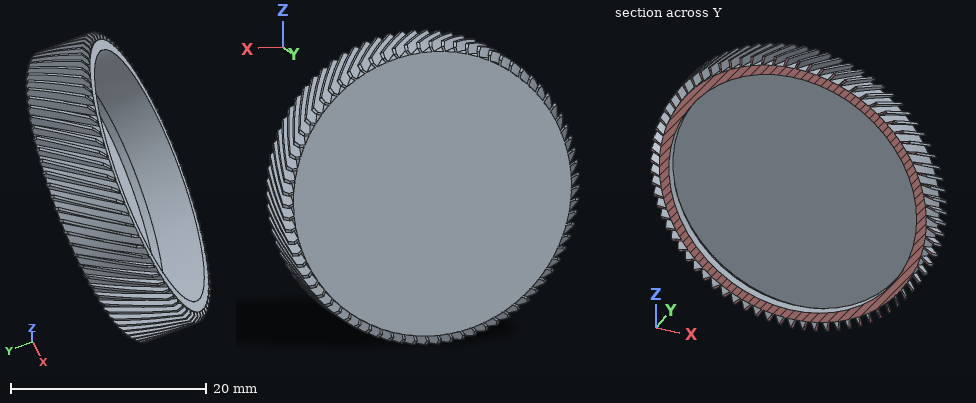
import cadquery as cq
import math

outer_diameter = 31.75
thickness = 7.0
rim_chamfer = 0.5

recess_diameter = 27.5
recess_depth = 5.5
undercut_height = 1.0
undercut_reach = 0.6

tooth_count = 75
tooth_height = 1.0
tooth_tip_width = 0.34
tooth_root_width = 0.22
tooth_lean = -1.6
first_tooth_angle = 1.25
tooth_twist = 16.7

outer_radius = outer_diameter / 2
root_radius = outer_radius - tooth_height
half_thickness = thickness / 2


def front_plane():
    """Workplane on the -Y face, with its normal along -Y."""
    return cq.Workplane("XZ", origin=(0, -half_thickness, 0))


def polar(radius, angle):
    """Point at a radius and an angle in degrees."""
    turn = math.radians(angle)
    return (radius * math.cos(turn), radius * math.sin(turn))


def toothed_outline():
    """Closed section of the cap: root arcs joined by narrow, leaning teeth."""
    pitch = 360 / tooth_count
    half_tip = math.degrees(tooth_tip_width / outer_radius) / 2
    half_root = math.degrees(tooth_root_width / root_radius) / 2
    outline = front_plane().moveTo(*polar(root_radius, first_tooth_angle - half_root))
    for index in range(tooth_count):
        root = first_tooth_angle + index * pitch
        tip = root + tooth_lean
        outline = (
            outline.lineTo(*polar(outer_radius, tip - half_tip))
            .threePointArc(polar(outer_radius, tip), polar(outer_radius, tip + half_tip))
            .lineTo(*polar(root_radius, root + half_root))
            .threePointArc(
                polar(root_radius, root + pitch / 2),
                polar(root_radius, root + pitch - half_root),
            )
        )
    return outline.close()


def chamfer_cutter(end):
    """Ring that chamfers the rim at the -Y end (end = -1) or the +Y end (end = 1)."""
    overshoot = rim_chamfer
    inner = outer_radius - rim_chamfer - overshoot
    outer = outer_radius + overshoot
    corner_sum = outer_radius + half_thickness - rim_chamfer
    profile = [
        (inner, end * (corner_sum - inner)),
        (outer, end * (corner_sum - inner)),
        (outer, end * (corner_sum - outer)),
    ]
    return cq.Workplane("XY").polyline(profile).close().revolve(360, (0, 0), (0, 1))


def undercut_recess():
    """Round recess from the -Y face that widens just above its floor."""
    recess_radius = recess_diameter / 2
    recess = front_plane().circle(recess_radius).extrude(-recess_depth)
    undercut = (
        front_plane()
        .workplane(offset=-recess_depth)
        .circle(recess_radius + undercut_reach)
        .extrude(undercut_height)
    )
    return recess.union(undercut)


body = toothed_outline().twistExtrude(-thickness, tooth_twist)
for end in (-1, 1):
    body = body.cut(chamfer_cutter(end))
result = body.cut(undercut_recess())